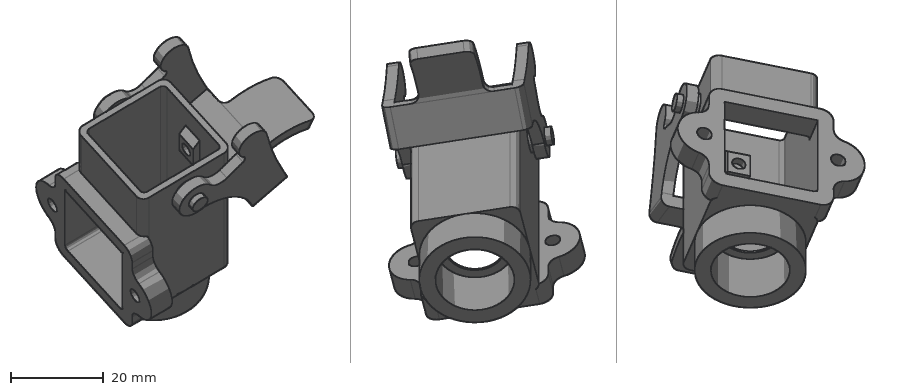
import cadquery as cq
import math

body_width = 24.0
body_corner = 2.0
body_top = 49.55
spigot_height = 8.0
wall = 1.5
floor_top = 11.5
inner_corner = 1.0
entry_hole_diameter = 13.0
spigot_bore_diameter = 17.0
spigot_bore_depth = 11.0

cavity_width = body_width - 2 * wall

flange_size = 28.0
flange_corner = 3.0
flange_front = -15.95
flange_back = -10.45
ear_offset = 15.0
ear_radius = 6.0
ear_blend = 3.0
screw_hole_diameter = 3.3

flange_depth = flange_back - flange_front
flange_middle = spigot_height + flange_size / 2

lug_width = 5.1
lug_depth = 1.75
lug_top = 43.4
lug_hole_diameter = 3.0
lug_hole_height = 38.7

lug_back = cavity_width / 2
lug_front = lug_back - lug_depth
lug_slope_end = lug_top - lug_depth
lug_bottom = 2 * lug_hole_height - lug_slope_end

pivot_height = 44.5
pivot_span = 34.0
pivot_diameter = 4.0
collar_diameter = 6.0

lever_angle = 20.0
lever_width = 31.15
lever_thickness = 2.65
eye_radius = 4.5
plate_inner = 9.25
plate_outer = 19.1
plate_bottom = -20.15
plate_round = 1.9
bow_start = -15.3
arch_start = -17.25
arch_radius = 13.5
knob_y = 17.05
knob_z = 2.5
knob_radius = 3.7
notch_radius = 1.0
notch_y = 12.85
neck_radius = 3.4
neck_y = 7.7
tab_width = 14.1
tab_outer_radius = 18.7
tab_sweep = 46.5
tab_corner = 2.0

arm_gap = lever_width - 2 * lever_thickness
plate_top = plate_bottom + lever_thickness


def box_between(x_size, y_min, y_max, z_min, z_max):
    """Box centred on X that spans the given Y and Z ranges."""
    box = cq.Workplane("XY").box(x_size, y_max - y_min, z_max - z_min, centered=(True, False, False))
    return box.translate((0, y_min, z_min))


def rod_along_x(diameter, length):
    """Round rod centred on the pivot axis."""
    return cq.Workplane("YZ").center(0, pivot_height).circle(diameter / 2).extrude(length / 2, both=True)


def toward(start, end, distance):
    """Point at a distance from start on the way to end."""
    share = distance / math.dist(start, end)
    return (start[0] + share * (end[0] - start[0]), start[1] + share * (end[1] - start[1]))


def arc_middle(center, radius, start, end):
    """Middle point of the shorter arc from start to end."""
    chord_middle = ((start[0] + end[0]) / 2, (start[1] + end[1]) / 2)
    return toward(center, chord_middle, radius)


def make_flange():
    """Square plate with a round ear on each side, blended in by concave arcs."""
    plane = cq.Workplane("XZ", origin=(0, flange_back, flange_middle))
    flange = plane.rect(flange_size, flange_size).extrude(flange_depth).edges("|Y").fillet(flange_corner)

    edge_x = flange_size / 2
    blend_x = edge_x + ear_blend
    blend_z = math.sqrt((ear_radius + ear_blend) ** 2 - (blend_x - ear_offset) ** 2)
    blend = (blend_x, blend_z)
    touch = toward((ear_offset, 0), blend, ear_radius)
    blend_middle = arc_middle(blend, ear_blend, (edge_x, blend_z), touch)
    ear = (
        plane.moveTo(0, blend_z)
        .lineTo(edge_x, blend_z)
        .threePointArc(blend_middle, touch)
        .threePointArc((ear_offset + ear_radius, 0), (touch[0], -touch[1]))
        .threePointArc((blend_middle[0], -blend_middle[1]), (edge_x, -blend_z))
        .lineTo(0, -blend_z)
        .close()
        .extrude(flange_depth)
    )
    return flange.union(ear).union(ear.mirror("YZ"))


def make_lug():
    """Block with a sloped top and a screw hole that ends at the wall behind it."""
    lug = (
        cq.Workplane("YZ")
        .polyline(
            [(lug_back, lug_bottom), (lug_front, lug_bottom), (lug_front, lug_slope_end), (lug_back, lug_top)]
        )
        .close()
        .extrude(lug_width / 2, both=True)
    )
    hole = cq.Workplane("XZ", origin=(0, lug_back, lug_hole_height)).circle(lug_hole_diameter / 2)
    return lug.cut(hole.extrude(lug_depth))


def make_cavity():
    """Square shaft with its floor rounded along both sides, open to the front through the flange."""
    shaft = box_between(cavity_width, -cavity_width / 2, cavity_width / 2, floor_top, body_top)
    shaft = shaft.edges("|Z").fillet(inner_corner)
    trough = box_between(cavity_width, flange_front, cavity_width / 2, floor_top, body_top)
    trough = trough.edges("|Y and <Z").fillet(inner_corner)
    window = box_between(cavity_width, flange_front, 0, floor_top, floor_top + cavity_width)
    return shaft.union(window).intersect(trough)


def make_housing():
    """Box, spigot, flange and pivots in one piece, hollowed out, with the grounding lug inside."""
    body = cq.Workplane("XY", origin=(0, 0, spigot_height)).rect(body_width, body_width)
    body = body.extrude(body_top - spigot_height).edges("|Z").fillet(body_corner)
    spigot = cq.Workplane("XY").circle(body_width / 2).extrude(spigot_height)
    entry_hole = cq.Workplane("XY").circle(entry_hole_diameter / 2).extrude(floor_top)
    spigot_bore = cq.Workplane("XY").circle(spigot_bore_diameter / 2).extrude(spigot_bore_depth)
    screw_holes = (
        cq.Workplane("XZ", origin=(0, flange_back, flange_middle))
        .pushPoints([(-ear_offset, 0), (ear_offset, 0)])
        .circle(screw_hole_diameter / 2)
        .extrude(flange_depth)
    )
    pivots = rod_along_x(collar_diameter, arm_gap).union(rod_along_x(pivot_diameter, pivot_span))
    shell = body.union(spigot).union(make_flange()).union(pivots)
    return shell.cut(make_cavity()).cut(entry_hole).cut(spigot_bore).cut(screw_holes).union(make_lug())


def make_arm_outline():
    """Closed arm outline in the YZ plane: foot, bowed outer edge, knob, notch, neck, pivot eye and arch."""
    eye = (0, 0)
    knob = (knob_y, knob_z)
    neck = (neck_y, math.sqrt((eye_radius + neck_radius) ** 2 - neck_y**2))
    notch = (notch_y, knob_z - math.sqrt((knob_radius + notch_radius) ** 2 - (knob_y - notch_y) ** 2))

    foot_outer = (plate_outer, bow_start)
    knob_inset = plate_outer - knob_y
    knob_rise = knob_z - bow_start
    bow_radius = (knob_inset**2 + knob_rise**2 - knob_radius**2) / (2 * (knob_radius - knob_inset))
    bow = (plate_outer + bow_radius, bow_start)
    bow_end = toward(knob, bow, knob_radius)

    foot_inner = (plate_inner, arch_start)
    arch = (plate_inner - arch_radius, arch_start)
    arch_distance = math.dist(eye, arch)
    eye_share = (eye_radius**2 - arch_radius**2 + arch_distance**2) / (2 * eye_radius * arch_distance)
    meeting_angle = math.atan2(arch[1], arch[0]) + math.acos(eye_share)
    arch_end = (eye_radius * math.cos(meeting_angle), eye_radius * math.sin(meeting_angle))

    neck_to_notch = math.atan2(notch[1] - neck[1], notch[0] - neck[0])
    edge_angle = neck_to_notch + math.asin((neck_radius - notch_radius) / math.dist(neck, notch))
    below = (math.sin(edge_angle), -math.cos(edge_angle))
    notch_end = (notch[0] + notch_radius * below[0], notch[1] + notch_radius * below[1])
    neck_start = (neck[0] + neck_radius * below[0], neck[1] + neck_radius * below[1])

    knob_end = toward(knob, notch, knob_radius)
    neck_end = toward(eye, neck, eye_radius)
    return (
        cq.Workplane("YZ")
        .moveTo(plate_inner, plate_bottom)
        .lineTo(plate_outer, plate_bottom)
        .lineTo(*foot_outer)
        .threePointArc(arc_middle(bow, bow_radius, foot_outer, bow_end), bow_end)
        .threePointArc((knob_y, knob_z + knob_radius), knob_end)
        .threePointArc(arc_middle(notch, notch_radius, knob_end, notch_end), notch_end)
        .lineTo(*neck_start)
        .threePointArc(arc_middle(neck, neck_radius, neck_start, neck_end), neck_end)
        .threePointArc((-eye_radius, 0), arch_end)
        .threePointArc(arc_middle(arch, arch_radius, arch_end, foot_inner), foot_inner)
        .close()
    )


def make_tab():
    """Thumb tab that curves down from the plate, with a rounded tip and a flared root."""
    bend_z = plate_top - tab_outer_radius
    tab_inner_radius = tab_outer_radius - lever_thickness
    end_angle = math.radians(90 - tab_sweep)
    middle_angle = math.radians(90 - tab_sweep / 2)

    def on_bend(radius, angle):
        return (plate_outer + radius * math.cos(angle), bend_z + radius * math.sin(angle))

    def curved_strip(width):
        return (
            cq.Workplane("YZ")
            .moveTo(plate_outer, plate_bottom)
            .lineTo(plate_outer, plate_top)
            .threePointArc(on_bend(tab_outer_radius, middle_angle), on_bend(tab_outer_radius, end_angle))
            .lineTo(*on_bend(tab_inner_radius, end_angle))
            .threePointArc(on_bend(tab_inner_radius, middle_angle), (plate_outer, plate_bottom))
            .close()
            .extrude(width / 2, both=True)
        )

    tip_direction = cq.Vector(0, math.cos(end_angle), math.sin(end_angle))
    tab = curved_strip(tab_width).edges(cq.selectors.ParallelDirSelector(tip_direction)).fillet(tab_corner)

    flare_width = tab_width + 2 * tab_corner
    flare_end = plate_outer + tab_corner
    flare = box_between(flare_width, plate_outer, flare_end, bend_z, plate_top)
    flare_rounds = (
        cq.Workplane("XY", origin=(0, flare_end, bend_z))
        .pushPoints([(-flare_width / 2, 0), (flare_width / 2, 0)])
        .circle(tab_corner)
        .extrude(tab_outer_radius)
    )
    return tab.union(curved_strip(flare_width).intersect(flare.cut(flare_rounds)))


def make_lever():
    """Two arms joined by a plate with a thumb tab, swung open about the pivot."""
    lever = box_between(lever_width, plate_inner, plate_outer, plate_bottom, plate_top)
    arm = make_arm_outline().extrude(lever_thickness)
    for arm_start in (-lever_width / 2, arm_gap / 2):
        lever = lever.union(arm.translate((arm_start, 0, 0)))
    envelope = box_between(lever_width, -eye_radius, knob_y + knob_radius, plate_bottom, knob_z + knob_radius)
    lever = lever.intersect(envelope.edges("|Y and <Z").fillet(plate_round))

    lever = lever.union(make_tab())
    lever = lever.rotate((0, 0, 0), (1, 0, 0), lever_angle).translate((0, 0, pivot_height))
    return lever.cut(rod_along_x(pivot_diameter, lever_width))


housing = make_housing()
lever = make_lever()
result = cq.Compound.makeCompound([housing.val(), lever.val()])